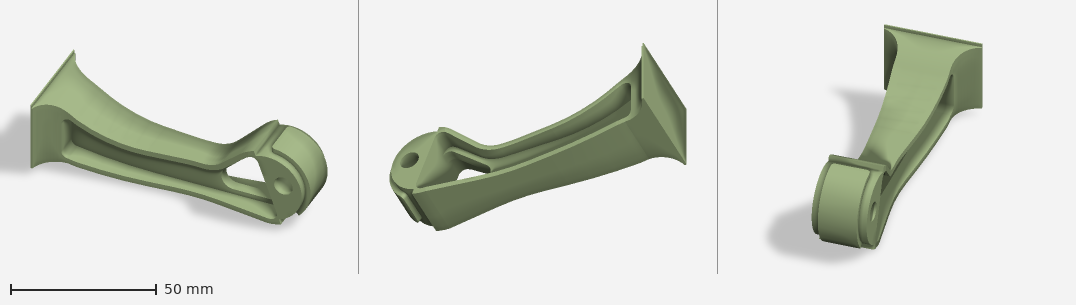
import cadquery as cq
import math

plate_thickness = 0.5
plate_width = 35.5
plate_bottom = 2.4
plate_top = 29.2

length = 101.0
head_radius = 15.0
head_x = length - head_radius
head_z = head_radius
waist_top = head_z
flat_top_start = 39.4
bend_radius = 11.1
ramp_angle = math.radians(43)
shoulder = (12.4, 22.9)
root_top = 28.1
heel_end = 10.6
flat_bottom_start = 39.9

arm_width = 20.0
flare_radius = 10.0
taper_start = 14.0
taper_slope = 0.088
upper_waist_x = 60.0
upper_waist_radius = 50.0
upper_taper_end = 78.7
lower_waist_x = 57.8
lower_waist_radius = 80.8
lower_taper_end = head_x
plan_split = 8.1

flange = 2.0
web_thickness = 4.0
pocket_start = 8.3
corner_radius = 2.5
window_toe_radius = 4.4

split_angle = math.radians(110)
hole_offset_x = 6.1
hole_offset_z = 2.5
hole_diameter = 7.1
band_width = 14.1
band_start = math.radians(-48)
band_end = math.radians(90)
band_corner_radius = 1.4

reach = 2 * length
match_tolerance = 0.001


def head_point(radius, angle):
    """Point at a radius and angle about the head axis, as (x, z)."""
    return (head_x + radius * math.cos(angle), head_z + radius * math.sin(angle))


def ramp_meets_height(inset, height):
    """X where the ramp, moved inwards by inset, crosses a height."""
    distance = head_radius - inset
    return head_x - (distance - (height - head_z) * math.cos(ramp_angle)) / math.sin(ramp_angle)


def extrude_across(outline, width):
    """Extrude an XZ outline by a width centred on Y = 0."""
    return outline.extrude(width / 2, both=True)


def arm_outline():
    """Side outline of the arm, including the full head circle."""
    bend_x = ramp_meets_height(0, waist_top)
    bend_tangent = bend_radius * math.tan(ramp_angle / 2)
    bend_top = (
        bend_x + bend_tangent * math.cos(ramp_angle),
        waist_top + bend_tangent * math.sin(ramp_angle),
    )
    heel_radius = ((flat_bottom_start - heel_end) ** 2 + plate_bottom**2) / (2 * plate_bottom)
    return (
        cq.Workplane("XZ")
        .moveTo(flat_bottom_start, 0)
        .lineTo(head_x, 0)
        .threePointArc((length, head_z), head_point(head_radius, math.pi / 2 + ramp_angle))
        .lineTo(*bend_top)
        .tangentArcPoint((bend_x - bend_tangent, waist_top), relative=False)
        .lineTo(flat_top_start, waist_top)
        .tangentArcPoint(shoulder, relative=False)
        .tangentArcPoint((0, root_top), relative=False)
        .lineTo(0, plate_bottom)
        .lineTo(heel_end, plate_bottom)
        .radiusArc((flat_bottom_start, 0), -heel_radius)
        .close()
    )


def plan_slab(waist_x, waist_radius, taper_end, bottom, top):
    """Slab between two heights with the plan of the arm: root flare, waist, head width."""
    half = arm_width / 2
    waist_corner = (waist_x, half - taper_slope * (waist_x - taper_start))
    flare_end = plate_thickness + flare_radius
    flare_rise = plate_width / 2 - half
    flare_start = flare_end - math.sqrt(flare_radius**2 - (flare_radius - flare_rise) ** 2)
    side = (
        cq.Workplane("XY", origin=(0, 0, bottom))
        .lineTo(0, plate_width / 2)
        .lineTo(flare_start, plate_width / 2)
        .radiusArc((flare_end, half), -flare_radius)
        .lineTo(taper_start, half)
        .lineTo(*waist_corner)
        .lineTo(taper_end, half)
        .lineTo(length, half)
        .lineTo(length, 0)
        .close()
        .extrude(top - bottom)
    )
    waist_edge = cq.selectors.NearestToPointSelector((*waist_corner, (bottom + top) / 2))
    side = side.edges("|Z").edges(waist_edge).fillet(waist_radius)
    return side.union(side.mirror("XZ"))


def arm_side_of_split():
    """Block covering everything on the arm side of the split line."""
    upper = head_point(reach, split_angle)
    lower = head_point(-reach, split_angle)
    outline = cq.Workplane("XZ").polyline([upper, (-reach, upper[1]), (-reach, lower[1]), lower]).close()
    return extrude_across(outline, reach)


def on_pocket_end(edge):
    """True for corners lying on the pocket's root wall or on the split line."""
    corner = edge.Center()
    across = math.sin(split_angle) * (corner.x - head_x) - math.cos(split_angle) * (corner.z - head_z)
    return abs(corner.x - pocket_start) < match_tolerance or abs(across) < match_tolerance


def make_pocket(inset_core, arm_side):
    """Recess inside the flanges, wider than the arm."""
    root = cq.Workplane("XY").box(pocket_start, reach, reach, centered=(False, True, True))
    pocket = inset_core.intersect(arm_side).cut(root)
    return pocket.edges("|Y").filter(on_pocket_end).fillet(corner_radius)


def make_window():
    """Rounded triangular opening through the web, next to the head."""
    inset = 2 * flange
    toe = (ramp_meets_height(inset, inset), inset)
    heel = head_point(-(head_z - inset) / math.sin(split_angle), split_angle)
    apex_distance = (head_radius - inset) / math.cos(split_angle - ramp_angle - math.pi / 2)
    apex = head_point(apex_distance, split_angle)
    window = extrude_across(cq.Workplane("XZ").polyline([toe, heel, apex]).close(), reach)
    window = window.edges("|Y").edges("<X").fillet(window_toe_radius)
    return window.edges("|Y").filter(on_pocket_end).fillet(corner_radius)


def make_band():
    """Raised band around the head rim, with rounded end corners."""
    inner_radius = head_radius - flange
    middle = (band_start + band_end) / 2
    outline = (
        cq.Workplane("XZ")
        .moveTo(*head_point(inner_radius, band_start))
        .lineTo(*head_point(head_radius, band_start))
        .threePointArc(head_point(head_radius, middle), head_point(head_radius, band_end))
        .lineTo(*head_point(inner_radius, band_end))
        .threePointArc(head_point(inner_radius, middle), head_point(inner_radius, band_start))
        .close()
    )
    band = extrude_across(outline, band_width)
    return band.edges("%LINE").edges("not |Y").fillet(band_corner_radius)


arm_side = arm_side_of_split()
inset_core = extrude_across(arm_outline().offset2D(-flange), plate_width)

lower_plan = plan_slab(lower_waist_x, lower_waist_radius, lower_taper_end, 0, plan_split)
upper_plan = plan_slab(upper_waist_x, upper_waist_radius, upper_taper_end, plan_split, 2 * head_radius)
arm = extrude_across(arm_outline(), plate_width).intersect(arm_side)
arm = arm.intersect(lower_plan).union(arm.intersect(upper_plan))
web_slab = cq.Workplane("XY").box(reach, web_thickness, reach)
arm = arm.cut(make_pocket(inset_core, arm_side).cut(web_slab)).cut(make_window())

head_slab = cq.Workplane("XY").box(reach, arm_width, reach)
head = inset_core.intersect(head_slab).cut(arm_side)

plate = cq.Workplane("XY").box(
    plate_thickness, plate_width, plate_top - plate_bottom, centered=(False, True, False)
).translate((0, 0, plate_bottom))

pin_hole = extrude_across(
    cq.Workplane("XZ")
    .center(head_x + hole_offset_x, head_z + hole_offset_z)
    .circle(hole_diameter / 2),
    reach,
)

result = arm.union(head).union(make_band()).union(plate).cut(pin_hole)